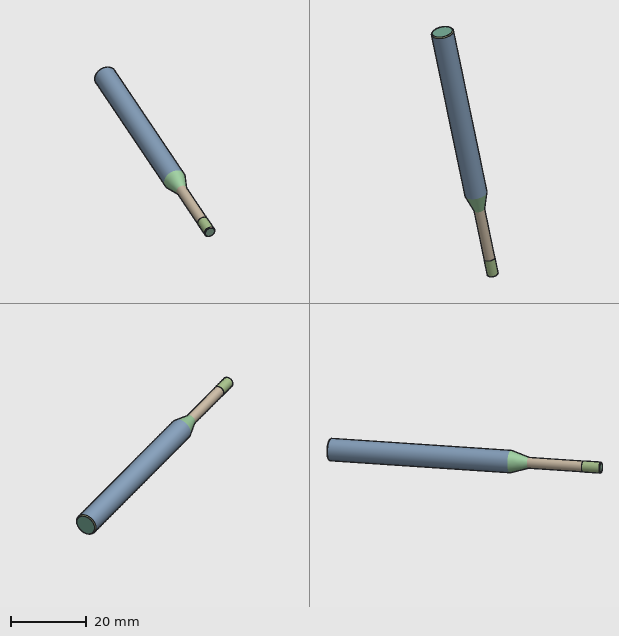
import cadquery as cq

total_length = 75.0
shank_length = 50.0
taper_length = 4.95
tip_length = 5.0

shank_diameter = 6.0
neck_diameter = 2.9
tip_diameter = 3.0

shank_chamfer = 0.3
tip_chamfer = 0.2

shank_radius = shank_diameter / 2
neck_radius = neck_diameter / 2
tip_radius = tip_diameter / 2
taper_end = shank_length + taper_length
tip_start = total_length - tip_length

profile = (
    cq.Workplane("XY")
    .moveTo(0, 0)
    .lineTo(0, shank_radius - shank_chamfer)
    .lineTo(shank_chamfer, shank_radius)
    .lineTo(shank_length, shank_radius)
    .lineTo(taper_end, neck_radius)
    .lineTo(tip_start, neck_radius)
    .lineTo(tip_start, tip_radius)
    .lineTo(total_length - tip_chamfer, tip_radius)
    .lineTo(total_length, tip_radius - tip_chamfer)
    .lineTo(total_length, 0)
    .close()
)

result = profile.revolve(360, (0, 0, 0), (1, 0, 0))